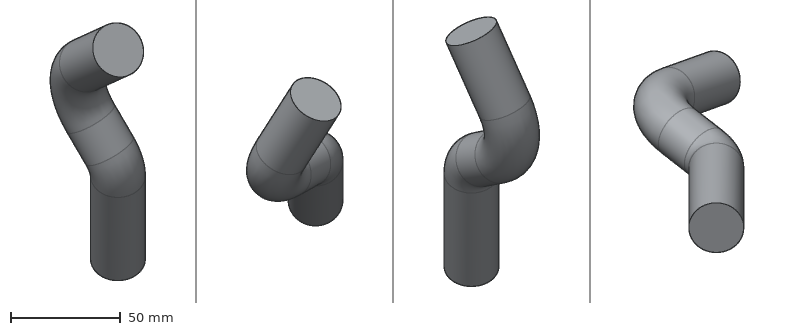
import cadquery as cq
import math

diameter = 25.0
lower_length = 63.8
middle_length = 17.7
upper_length = 39.9
lower_bend_radius = 19.0
upper_bend_radius = 29.4
middle_tilt = -45.0
upper_tilt = 33.5


def straight_end(start, tilt, length):
    """End point of a straight run along the centre line."""
    angle = math.radians(tilt)
    return (start[0] + length * math.sin(angle), start[1] + length * math.cos(angle))


def bend_points(start, tilt_in, tilt_out, radius):
    """Middle and end points of a centre-line bend tangent to both runs."""
    side = math.copysign(radius, tilt_out - tilt_in)
    angle_in = math.radians(tilt_in)
    centre_x = start[0] + side * math.cos(angle_in)
    centre_z = start[1] - side * math.sin(angle_in)

    def on_arc(tilt):
        angle = math.radians(tilt)
        return (centre_x - side * math.cos(angle), centre_z + side * math.sin(angle))

    return on_arc((tilt_in + tilt_out) / 2), on_arc(tilt_out)


lower_top = straight_end((0, 0), 0, lower_length)
lower_bend_mid, middle_start = bend_points(lower_top, 0, middle_tilt, lower_bend_radius)
middle_end = straight_end(middle_start, middle_tilt, middle_length)
upper_bend_mid, upper_start = bend_points(middle_end, middle_tilt, upper_tilt, upper_bend_radius)
upper_end = straight_end(upper_start, upper_tilt, upper_length)

centre_line = (
    cq.Workplane("XZ")
    .lineTo(*lower_top)
    .threePointArc(lower_bend_mid, middle_start)
    .lineTo(*middle_end)
    .threePointArc(upper_bend_mid, upper_start)
    .lineTo(*upper_end)
)

result = cq.Workplane("XY").circle(diameter / 2).sweep(centre_line)